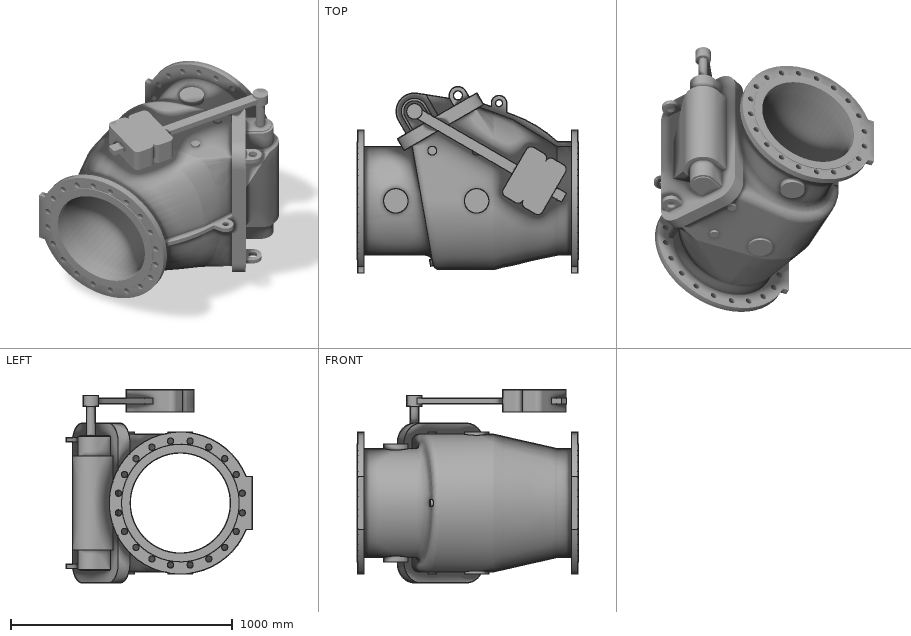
import cadquery as cq
import math

HALF_LENGTH = 500.0
BORE_D = 450.0
PIPE_D = 490.0
PIPE_R = PIPE_D / 2
FLANGE_D = 640.0
FLANGE_T = 29.0
FACE_D = 530.0
FACE_T = 4.0
BOLT_CIRCLE_D = 565.0
BOLT_HOLE_D = 28.0
BOLT_COUNT = 20
FOOT_DEPTH = 325.0
FOOT_WIDTH = 240.0

BODY_R = 310.0
NECK_END_X = 39.0
WALL_X = -207.0
WALL_TILT = 10.0
WALL_ROUND = 32.0
SHELL_STATIONS = [
    (NECK_END_X, BODY_R, 411.0, 427.0),
    (117.0, BODY_R, 276.0, 399.0),
    (204.0, 290.0, 200.0, 366.0),
    (403.0, PIPE_R, 5.0, PIPE_R),
]
RIB_HEIGHT = 22.0
RIB_T = 20.0
RIB_CREST_MIDDLE = (328.0, 326.0)

COVER_TILT = 30.0
COVER_OUT = 340.0
COVER_T = 61.0
COVER_ALONG = 72.0
COVER_LENGTH = 414.0
COVER_HALF_HEIGHT = 360.0
COVER_CORNER_R = 90.0

HINGE_X = -240.0
HINGE_Y = 403.0
HOUSING_STEPS = [(83.0, 212.0), (59.0, 300.0), (48.0, 305.0)]
SHAFT_D = 40.0
HOUSING_DROP = 80.0
GUSSET_TANGENT_ANGLE = 51.0
GUSSET_TIP_HALF_HEIGHT = 100.0

LEVER_Z = 460.0
LEVER_HUB_D = 70.0
LEVER_HUB_H = 50.0
ARM_ANGLE = -30.0
ARM_LENGTH = 778.0
ARM_WIDTH = 46.0
ARM_T = 26.0
WEIGHT_START = 522.0
WEIGHT_T = 102.0
WEIGHT_WIDTH = 256.0
WEIGHT_H = 102.0
WEIGHT_CORNER_R = 25.0

COVER_EYE = (-44.0, 475.0)
COVER_EYE_R = 40.0
COVER_EYE_HOLE_D = 40.0
COVER_EYE_DROP = 50.0
COVER_EYE_Z = 285.0
BODY_EYE = (141.0, 440.0)
BODY_EYE_R = 35.0
BODY_EYE_HOLE_D = 30.0
BODY_EYE_DROP = 60.0
EYE_T = 20.0

PAD_D = 110.0
PIN_PAD_D = 40.0
PADS = [
    (PAD_D, -324.0, 0.0, 266.0),
    (PAD_D, 40.0, 0.0, 320.0),
    (PIN_PAD_D, -160.0, 226.0, 320.0),
    (PIN_PAD_D, 40.0, 226.0, 320.0),
]
PAD_DEPTH = 40.0
PLUG_D = 30.0
PLUG_CENTRE = (-170.0, -280.0)
PLUG_DEPTH = 30.0


def cylinder_x(diameter, x_start, x_end):
    return cq.Workplane("YZ", origin=(x_start, 0, 0)).circle(diameter / 2).extrude(x_end - x_start)


def shell_section(workplane, half_width, side, crown):
    """Round bottom, straight sides and a half-elliptic crown."""
    return (
        workplane.moveTo(0, -half_width)
        .threePointArc((-half_width, 0), (0, half_width))
        .lineTo(side, half_width)
        .ellipseArc(crown - side, half_width, -90, 90, sense=-1)
        .close()
    )


def cover_plane(out):
    """Plane parallel to the cover: local x up the slope, local y along -Z."""
    tilt = math.radians(COVER_TILT)
    normal = (-math.sin(tilt), math.cos(tilt), 0)
    return cq.Plane(
        origin=(out * normal[0], out * normal[1], 0),
        xDir=(math.cos(tilt), math.sin(tilt), 0),
        normal=normal,
    )


def tilted_frame(x, y, z, angle):
    """Horizontal plane at (x, y, z) with its x axis turned by angle about Z."""
    turn = math.radians(angle)
    return cq.Plane(origin=(x, y, z), xDir=(math.cos(turn), math.sin(turn), 0), normal=(0, 0, 1))


def make_flange():
    """Flange at the -X end with raised face, foot and bolt holes."""
    inner = -HALF_LENGTH + FACE_T + FLANGE_T
    outer = -HALF_LENGTH + FACE_T
    flange = cylinder_x(FLANGE_D, outer, inner)
    foot = cq.Workplane("XY").box(FLANGE_T, FOOT_DEPTH, FOOT_WIDTH, centered=(False, False, True))
    flange = flange.union(foot.translate((outer, -FOOT_DEPTH, 0)))
    flange = flange.union(cylinder_x(FACE_D, -HALF_LENGTH, inner))
    holes = (
        cq.Workplane("YZ", origin=(-HALF_LENGTH, 0, 0))
        .polarArray(BOLT_CIRCLE_D / 2, 180 / BOLT_COUNT, 360, BOLT_COUNT)
        .circle(BOLT_HOLE_D / 2)
        .extrude(FACE_T + FLANGE_T)
    )
    return flange.cut(holes)


def make_neck():
    """Straight-sided neck and inlet pipe, blended through the tilted wall."""
    reach = 2 * BODY_R
    neck = (
        cq.Workplane("YZ", origin=(-reach, 0, 0))
        .moveTo(0, -BODY_R)
        .threePointArc((-BODY_R, 0), (0, BODY_R))
        .lineTo(reach, BODY_R)
        .lineTo(reach, -BODY_R)
        .close()
        .extrude(reach + NECK_END_X)
    )
    beyond_wall = (
        cq.Workplane("XY")
        .box(2 * reach, 4 * reach, 4 * reach)
        .translate((-reach, 0, 0))
        .rotate((0, 0, 0), (0, 0, 1), WALL_TILT)
        .translate((WALL_X, 0, 0))
    )
    tilt = math.radians(WALL_TILT)
    wall_normal = cq.Vector(-math.cos(tilt), -math.sin(tilt), 0)
    neck = neck.cut(beyond_wall)
    neck = neck.faces(cq.DirectionMinMaxSelector(wall_normal)).edges().fillet(WALL_ROUND)
    inlet_pipe = cylinder_x(PIPE_D, -HALF_LENGTH + FACE_T, NECK_END_X)
    neck = neck.union(inlet_pipe)
    pipe_joint = cq.NearestToPointSelector((WALL_X, 0, 0))
    neck = neck.edges(pipe_joint).fillet(WALL_ROUND)
    above_cover = cq.Workplane(cover_plane(COVER_OUT)).rect(4 * reach, 4 * reach).extrude(2 * reach)
    return neck.cut(above_cover).union(inlet_pipe)


def make_shell():
    """Tapering shell from the neck down to the outlet pipe."""
    shell = cq.Workplane("YZ")
    previous_x = 0
    for x, half_width, side, crown in SHELL_STATIONS:
        shell = shell_section(shell.workplane(offset=x - previous_x), half_width, side, crown)
        previous_x = x
    return shell.loft(ruled=True)


def make_rib():
    """Central rib along the crown of the shell."""
    flange_x = HALF_LENGTH - FACE_T - FLANGE_T
    start, rise, shoulder, end = [(x, crown + RIB_HEIGHT) for x, _, _, crown in SHELL_STATIONS]
    return (
        cq.Workplane("XY")
        .moveTo(NECK_END_X, 0)
        .lineTo(*start)
        .lineTo(*rise)
        .lineTo(*shoulder)
        .threePointArc(RIB_CREST_MIDDLE, end)
        .lineTo(flange_x, PIPE_R + RIB_HEIGHT)
        .lineTo(flange_x, 0)
        .close()
        .extrude(RIB_T / 2, both=True)
    )


def make_cover():
    plane = cover_plane(COVER_OUT)
    return (
        cq.Workplane(plane)
        .center(COVER_ALONG, 0)
        .rect(COVER_LENGTH, 2 * COVER_HALF_HEIGHT)
        .extrude(COVER_T)
        .edges(cq.ParallelDirSelector(plane.zDir))
        .fillet(COVER_CORNER_R)
    )


def make_housing():
    """Stepped hinge housing, rounded about the shaft and standing on the cover."""
    frame = tilted_frame(HINGE_X, HINGE_Y, 0, COVER_TILT)
    housing = cq.Workplane("XY")
    for radius, half_height in HOUSING_STEPS:
        step = (
            cq.Workplane(frame)
            .moveTo(-radius, 0)
            .threePointArc((0, radius), (radius, 0))
            .lineTo(radius, -HOUSING_DROP)
            .lineTo(-radius, -HOUSING_DROP)
            .close()
            .extrude(half_height, both=True)
        )
        housing = housing.union(step)
    return housing


def make_gusset():
    """Wedge on the cover, tangent to the housing, sloping and narrowing away from it."""
    radius, half_height = HOUSING_STEPS[0]
    tangent = math.radians(GUSSET_TANGENT_ANGLE)
    length = (radius + HOUSING_DROP * math.sin(tangent)) / math.cos(tangent)
    side_profile = (
        cq.Workplane(tilted_frame(HINGE_X, HINGE_Y, 0, COVER_TILT))
        .lineTo(radius * math.cos(tangent), radius * math.sin(tangent))
        .lineTo(length, -HOUSING_DROP)
        .lineTo(0, -HOUSING_DROP)
        .close()
        .extrude(half_height, both=True)
    )
    tilt = math.radians(COVER_TILT)
    hinge_along = HINGE_X * math.cos(tilt) + HINGE_Y * math.sin(tilt)
    footprint = (
        cq.Workplane(cover_plane(COVER_OUT))
        .center(hinge_along, 0)
        .moveTo(0, half_height)
        .lineTo(radius, half_height)
        .lineTo(length, GUSSET_TIP_HALF_HEIGHT)
        .lineTo(length, -GUSSET_TIP_HALF_HEIGHT)
        .lineTo(radius, -half_height)
        .lineTo(0, -half_height)
        .close()
        .extrude(COVER_LENGTH)
    )
    return side_profile.intersect(footprint)


def make_eye(centre, radius, hole_d, drop, angle, z):
    """Lifting eye: round-ended plate with a hole, its foot pointing down at angle."""
    return (
        cq.Workplane(tilted_frame(*centre, z, angle))
        .moveTo(-radius, 0)
        .threePointArc((0, radius), (radius, 0))
        .lineTo(radius, -drop)
        .lineTo(-radius, -drop)
        .close()
        .moveTo(0, 0)
        .circle(hole_d / 2)
        .extrude(EYE_T / 2, both=True)
    )


def make_lever():
    """Shaft, hub, arm and the two counterweights."""
    shaft = cq.Workplane("XY", origin=(HINGE_X, HINGE_Y, 0)).circle(SHAFT_D / 2).extrude(LEVER_Z)
    frame = tilted_frame(HINGE_X, HINGE_Y, LEVER_Z, ARM_ANGLE)
    hub = cq.Workplane(frame).circle(LEVER_HUB_D / 2).extrude(LEVER_HUB_H / 2, both=True)
    arm = (
        cq.Workplane(frame)
        .center(ARM_LENGTH / 2, 0)
        .rect(ARM_LENGTH, ARM_WIDTH)
        .extrude(ARM_T / 2, both=True)
    )
    lever = shaft.union(hub).union(arm)
    for index in range(2):
        weight = (
            cq.Workplane(frame)
            .center(WEIGHT_START + (index + 0.5) * WEIGHT_T, 0)
            .rect(WEIGHT_T, WEIGHT_WIDTH)
            .extrude(WEIGHT_H / 2, both=True)
            .edges("|Z")
            .fillet(WEIGHT_CORNER_R)
        )
        lever = lever.union(weight)
    return lever


def make_pads():
    """Round pads on both flat sides and on the inlet pipe."""
    pads = cq.Workplane("XY")
    for diameter, x, y, outer_z in PADS:
        pad = cq.Workplane("XY", origin=(x, y, outer_z - PAD_DEPTH)).circle(diameter / 2).extrude(PAD_DEPTH)
        pads = pads.union(pad).union(pad.mirror("XY"))
    return pads


def make_plug():
    """Small plug square to the tilted wall, near its lowest point."""
    tilt = math.radians(WALL_TILT)
    outward = (-math.cos(tilt), -math.sin(tilt), 0)
    plane = cq.Plane(origin=(*PLUG_CENTRE, 0), xDir=(0, 0, 1), normal=outward)
    return cq.Workplane(plane).circle(PLUG_D / 2).extrude(-PLUG_DEPTH)


flange = make_flange()
outlet_pipe = cylinder_x(PIPE_D, 0, HALF_LENGTH - FACE_T)

result = make_neck().union(make_shell()).union(outlet_pipe).union(make_rib())
result = result.union(flange).union(flange.mirror("YZ"))
result = result.union(make_cover()).union(make_housing()).union(make_gusset())
result = result.union(make_pads()).union(make_plug())
for side in (-1, 1):
    eye_z = side * COVER_EYE_Z
    eye = make_eye(COVER_EYE, COVER_EYE_R, COVER_EYE_HOLE_D, COVER_EYE_DROP, COVER_TILT, eye_z)
    result = result.union(eye)
result = result.union(make_eye(BODY_EYE, BODY_EYE_R, BODY_EYE_HOLE_D, BODY_EYE_DROP, 0, 0))
result = result.union(make_lever())
result = result.cut(cylinder_x(BORE_D, -HALF_LENGTH, HALF_LENGTH))